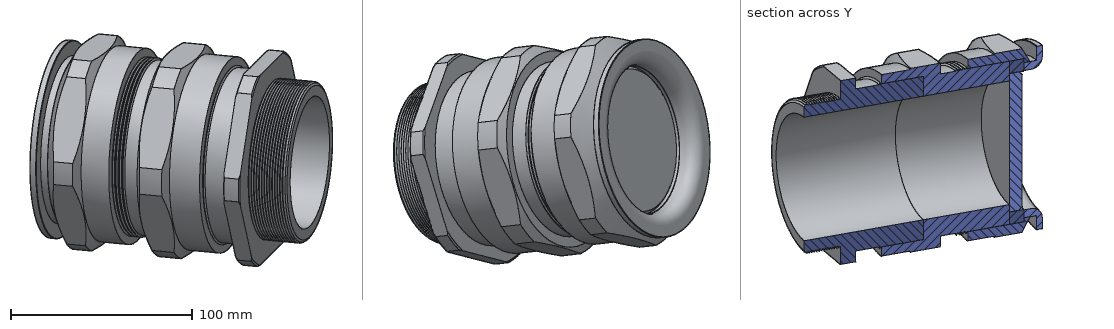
import cadquery as cq
import math


FLANGE_D = 110.0
FLANGE_T = 3.8
FLANGE_RIM_CHAMFER = 0.3
NECK_D = 93.2
CABLE_BORE_D = 83.0
BELL_MOUTH_R = 6.8
CLAMP_RING_END = 11.5

SEAL_BORE_D = 82.5
PLUG_START = 12.2
PLUG_TAPER_END = 14.2
PLUG_FACE_D = 79.0
SEAL_END = 20.3

HEX_ACROSS_FLATS = 110.0
HEX_CORNER_D = 120.1
BODY_HEX_CORNER_D = 119.1
CHAMFER_SLOPE = math.tan(math.radians(60))

NUT_START = 7.8
NUT_HEX_END = 29.5
NUT_END = 45.5
NUT_FACE_D = 94.0
SKIRT_D = 108.8

BODY_HEX_START = 61.8
BODY_HEX_END = 80.5
BODY_END = 97.8
BODY_SOCKET_START = 72.3
SHANK_D = 97.2
THROUGH_BORE_D = 73.6

ENTRY_HEX_START = 113.1
ENTRY_HEX_END = 122.5
ENTRY_END = 144.7
ENTRY_HEX_CHAMFER = 0.6
ENTRY_ROOT_D = 87.4
ENTRY_TIP_CHAMFER = 0.9

SHANK_CREST_D = 99.5
SHANK_PITCH = 2.0
SHANK_RIDGE_W = 1.5
BODY_RIDGES = 4
ENTRY_SHANK_RIDGES = 1
ENTRY_CREST_D = 89.7
ENTRY_PITCH = 1.5


def turned(points):
    """Solid turned about the X axis from (x, diameter) points."""
    profile = [(x, diameter / 2) for x, diameter in points]
    return cq.Workplane("XY").polyline(profile).close().revolve(360, (0, 0, 0), (1, 0, 0))


def cylinder(start, end, diameter):
    return cq.Workplane("YZ").workplane(offset=start).circle(diameter / 2).extrude(end - start)


def hexagon(start, end, corner_d, start_face_d, end_face_d):
    """Hexagonal prism with two flats facing +Z and -Z, its corners turned and chamfered."""
    start_chamfer = (corner_d - start_face_d) / 2 / CHAMFER_SLOPE
    end_chamfer = (corner_d - end_face_d) / 2 / CHAMFER_SLOPE
    sharp_corner_d = HEX_ACROSS_FLATS / math.cos(math.radians(30))
    prism = cq.Workplane("YZ").workplane(offset=start).polygon(6, sharp_corner_d).extrude(end - start)
    blank = turned([
        (start, 0),
        (start, start_face_d),
        (start + start_chamfer, corner_d),
        (end - end_chamfer, corner_d),
        (end, end_face_d),
        (end, 0),
    ])
    return prism.intersect(blank)


def threaded_rod(start, end, root_d, crest_d, pitch, ridge_w, ridges):
    """Rod from start to end that carries V-shaped ridges, the first one beginning at start."""
    points = [(start, 0), (start, root_d)]
    for index in range(ridges):
        ridge_start = start + index * pitch
        if index > 0:
            points.append((ridge_start, root_d))
        points.append((ridge_start + ridge_w / 2, crest_d))
        if ridge_w < pitch:
            points.append((ridge_start + ridge_w, root_d))
    points += [(end, root_d), (end, 0)]
    return turned(points)


def make_clamp_ring():
    flange = cylinder(0, FLANGE_T, FLANGE_D).edges().chamfer(FLANGE_RIM_CHAMFER)
    ring = flange.union(cylinder(0, CLAMP_RING_END, NECK_D))
    ring = ring.cut(cylinder(0, CLAMP_RING_END, CABLE_BORE_D))
    return ring.faces("<X").edges(cq.selectors.RadiusNthSelector(0)).fillet(BELL_MOUTH_R)


def make_cap_nut():
    head = hexagon(NUT_START, NUT_HEX_END, HEX_CORNER_D, NUT_FACE_D, SKIRT_D)
    nut = head.union(cylinder(NUT_HEX_END, NUT_END, SKIRT_D))
    nut = nut.cut(cylinder(NUT_START, CLAMP_RING_END, NECK_D))
    return nut.cut(cylinder(CLAMP_RING_END, NUT_END, SHANK_D))


def make_seal_ring():
    ring = cylinder(CLAMP_RING_END, SEAL_END, SHANK_D)
    return ring.cut(cylinder(CLAMP_RING_END, SEAL_END, SEAL_BORE_D))


def make_plug():
    return turned([
        (PLUG_START, 0),
        (PLUG_START, PLUG_FACE_D),
        (PLUG_TAPER_END, SEAL_BORE_D),
        (SEAL_END, SEAL_BORE_D),
        (SEAL_END, 0),
    ])


def make_middle_body():
    body = cylinder(SEAL_END, NUT_END, SHANK_D)
    body = body.union(threaded_rod(
        NUT_END, BODY_HEX_START, SHANK_D, SHANK_CREST_D, SHANK_PITCH, SHANK_RIDGE_W, BODY_RIDGES))
    body = body.union(hexagon(BODY_HEX_START, BODY_HEX_END, BODY_HEX_CORNER_D, SKIRT_D, SKIRT_D))
    body = body.union(cylinder(BODY_HEX_END, BODY_END, SKIRT_D))
    body = body.cut(cylinder(BODY_SOCKET_START, BODY_END, SHANK_D))
    return body.cut(cylinder(SEAL_END, BODY_END, THROUGH_BORE_D))


def make_entry_body():
    hex_face_d = HEX_CORNER_D - 2 * ENTRY_HEX_CHAMFER * CHAMFER_SLOPE
    thread_length = ENTRY_END - ENTRY_TIP_CHAMFER - ENTRY_HEX_END
    entry_ridges = math.floor(thread_length / ENTRY_PITCH)
    entry = cylinder(BODY_SOCKET_START, BODY_END, SHANK_D)
    entry = entry.union(threaded_rod(
        BODY_END, ENTRY_HEX_START, SHANK_D, SHANK_CREST_D, SHANK_PITCH, SHANK_RIDGE_W, ENTRY_SHANK_RIDGES))
    entry = entry.union(hexagon(ENTRY_HEX_START, ENTRY_HEX_END, HEX_CORNER_D, hex_face_d, hex_face_d))
    threaded_end = threaded_rod(
        ENTRY_HEX_END, ENTRY_END, ENTRY_ROOT_D, ENTRY_CREST_D, ENTRY_PITCH, ENTRY_PITCH, entry_ridges)
    entry = entry.union(threaded_end.faces(">X").edges().chamfer(ENTRY_TIP_CHAMFER))
    return entry.cut(cylinder(BODY_SOCKET_START, ENTRY_END, THROUGH_BORE_D))


clamp_ring = make_clamp_ring()
cap_nut = make_cap_nut()
seal_ring = make_seal_ring()
plug = make_plug()
middle_body = make_middle_body()
entry_body = make_entry_body()

result = cq.Compound.makeCompound([
    clamp_ring.val(),
    cap_nut.val(),
    seal_ring.val(),
    plug.val(),
    middle_body.val(),
    entry_body.val(),
])